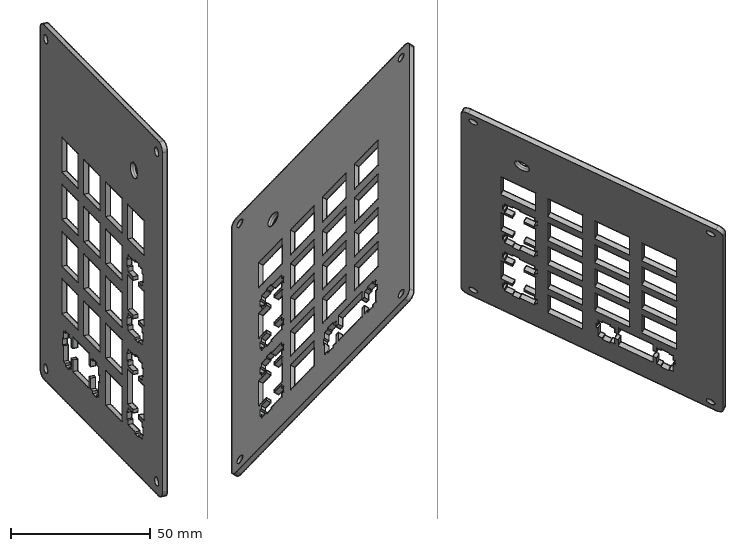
import cadquery as cq

PLATE_WIDTH = 106.4
PLATE_HEIGHT = 143.4
PLATE_THICKNESS = 2.0
CORNER_RADIUS = 3.0

SCREW_HOLE_DIAMETER = 3.5
SCREW_HOLE_INSET = 5.0
KNOB_HOLE_DIAMETER = 6.0
KNOB_HOLE_X = 28.4
KNOB_HOLE_Z = 49.8

KEY_PITCH = 19.1
KEY_OPENING = 14.0
COLUMN_COUNT = 4
LAST_COLUMN_X = 30.0
FIRST_ROW_Z = 26.5
SQUARE_COLUMNS_BY_ROW = [(0, 1, 2, 3), (0, 1, 2), (0, 1, 2), (0, 1, 2), (2,)]

WIDE_KEYS = [(0.5, 4, 0), (3, 1.5, -90), (3, 3.5, -90)]

STABILIZER_SPACING = 23.8
STABILIZER_WIDTH = 6.7
STABILIZER_TOP = 5.5
STABILIZER_BOTTOM = -6.7
CLIP_NOTCH_WIDTH = 3.2
CLIP_NOTCH_TOP = 6.3
CLIP_NOTCH_BOTTOM = -7.7
END_NOTCH_REACH = 16.0
END_NOTCH_BOTTOM = -0.5
CHANNEL_TOP = 2.3

CUT_DEPTH = 2 * PLATE_THICKNESS


def key_centre(column, row):
    x = LAST_COLUMN_X - (COLUMN_COUNT - 1 - column) * KEY_PITCH
    z = FIRST_ROW_Z - row * KEY_PITCH
    return x, z


def box_between(left, right, bottom, top):
    """Cutter through the plate with the given limits along X and Z."""
    centre = ((left + right) / 2, 0, (bottom + top) / 2)
    return cq.Workplane("XY").box(right - left, CUT_DEPTH, top - bottom).translate(centre)


def centred_box(centre_x, width, bottom, top):
    return box_between(centre_x - width / 2, centre_x + width / 2, bottom, top)


def round_cutter(diameter, places):
    return (
        cq.Workplane("XZ")
        .pushPoints(places)
        .circle(diameter / 2)
        .extrude(CUT_DEPTH / 2, both=True)
    )


def square_cutter():
    return centred_box(0, KEY_OPENING, -KEY_OPENING / 2, KEY_OPENING / 2)


def wide_key_cutter():
    """Key opening joined by a channel to a notched stabilizer opening on each side."""
    cutter = square_cutter()
    half_spacing = STABILIZER_SPACING / 2
    cutter = cutter.union(centred_box(0, STABILIZER_SPACING, -CHANNEL_TOP, CHANNEL_TOP))
    cutter = cutter.union(centred_box(0, 2 * END_NOTCH_REACH, END_NOTCH_BOTTOM, CHANNEL_TOP))
    for x in (-half_spacing, half_spacing):
        cutter = cutter.union(centred_box(x, STABILIZER_WIDTH, STABILIZER_BOTTOM, STABILIZER_TOP))
        cutter = cutter.union(centred_box(x, CLIP_NOTCH_WIDTH, CLIP_NOTCH_BOTTOM, CLIP_NOTCH_TOP))
    return cutter


plate = (
    cq.Workplane("XY")
    .box(PLATE_WIDTH, PLATE_THICKNESS, PLATE_HEIGHT)
    .edges("|Y")
    .fillet(CORNER_RADIUS)
)

screw_x = PLATE_WIDTH / 2 - SCREW_HOLE_INSET
screw_z = PLATE_HEIGHT / 2 - SCREW_HOLE_INSET
screw_places = [(x, z) for x in (-screw_x, screw_x) for z in (-screw_z, screw_z)]
plate = plate.cut(round_cutter(SCREW_HOLE_DIAMETER, screw_places))
plate = plate.cut(round_cutter(KNOB_HOLE_DIAMETER, [(KNOB_HOLE_X, KNOB_HOLE_Z)]))

for row, columns in enumerate(SQUARE_COLUMNS_BY_ROW):
    for column in columns:
        x, z = key_centre(column, row)
        plate = plate.cut(square_cutter().translate((x, 0, z)))

for column, row, angle in WIDE_KEYS:
    x, z = key_centre(column, row)
    cutter = wide_key_cutter().rotate((0, 0, 0), (0, -1, 0), angle)
    plate = plate.cut(cutter.translate((x, 0, z)))

result = plate